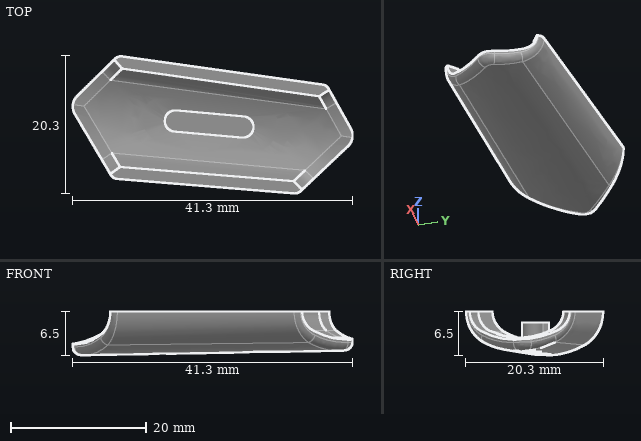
import cadquery as cq
import math

loft_reach = 33.05
left_center_y, left_half_width, left_depth = 3.22, 9.65, 6.75
right_center_y, right_half_width, right_depth = -4.15, 7.73, 5.58
corner_angle = math.radians(27)

wall = 1.8
floor = 1.95

left_tip = (-21.2, 3.05)
right_tip = (21.25, -2.0)
rear_left = (-13.75, 10.37)
rear_right = (16.78, 6.0)
front_right = (12.4, -10.37)
front_left = (-14.55, -8.2)
tip_radius = 2.15
end_edge_radius = 1.25
rim_margin = 0.05

bevel_width = 1.78
bevel_wall = 0.65
bevel_floor = 1.6

boss_center = (-0.5, 0.12)
boss_length = 13.15
boss_width = 3.15
boss_angle = -5.1
boss_top = -1.6
boss_foot = -4.95


def add_section(plane, center_y, half_width, depth):
    """Draw a U of two tight side arcs tangent to one shallow bottom arc."""
    sine = math.sin(corner_angle)
    cosine = math.cos(corner_angle)
    rise = (1 - cosine) / sine
    side_radius = (depth - half_width * rise) / (1 - rise)
    arc_center = half_width - side_radius
    join_y = arc_center + side_radius * sine
    join_z = -side_radius * cosine
    middle_angle = (math.pi / 2 - corner_angle) / 2
    middle_y = arc_center + side_radius * math.cos(middle_angle)
    middle_z = -side_radius * math.sin(middle_angle)
    return (
        plane.moveTo(center_y - half_width, 0)
        .threePointArc((center_y - middle_y, middle_z), (center_y - join_y, join_z))
        .threePointArc((center_y, -depth), (center_y + join_y, join_z))
        .threePointArc((center_y + middle_y, middle_z), (center_y + half_width, 0))
        .close()
    )


def channel(side_inset, floor_inset):
    """Tapered solid lofted between two U sections, shrunk by the insets."""
    loft = cq.Workplane("YZ", origin=(-loft_reach, 0, 0))
    loft = add_section(loft, left_center_y, left_half_width - side_inset, left_depth - floor_inset)
    loft = loft.workplane(offset=2 * loft_reach)
    loft = add_section(loft, right_center_y, right_half_width - side_inset, right_depth - floor_inset)
    return loft.loft(ruled=True)


def plan_prism():
    """Six-sided prism that trims the channel, with rounded tips."""
    height = 2 * left_depth
    outline = [left_tip, rear_left, rear_right, right_tip, front_right, front_left]
    prism = cq.Workplane("XY", origin=(0, 0, -height)).polyline(outline).close().extrude(2 * height)
    return prism.edges("|Z and (<X or >X)").fillet(tip_radius)


def is_open_end_edge(edge):
    """True for edges away from the rim plane that are not upright lines."""
    return edge.Center().z < -rim_margin and abs(edge.tangentAt(0.5).z) < 0.999


def outer_body():
    """Trimmed channel with the lower edge of its ends rounded."""
    body = channel(0, 0).intersect(plan_prism())
    outer_edges = [edge for edge in body.faces("#Z").edges().vals() if is_open_end_edge(edge)]
    return body.newObject(outer_edges).fillet(end_edge_radius)


def slice_wire(solid, tip, corner, inset):
    """Outline of a solid cut by the upright plane along an end, moved inward by inset."""
    along = (cq.Vector(*corner) - cq.Vector(*tip)).normalized()
    inward = cq.Vector(-along.y, along.x, 0)
    if inward.dot(cq.Vector(*tip)) > 0:
        inward = -inward
    plane = cq.Plane(origin=cq.Vector(*tip) + inward * inset, xDir=along, normal=inward)
    sheet = cq.Face.makePlane(4 * loft_reach, 4 * loft_reach, plane.origin, plane.zDir)
    return sheet.intersect(solid.val()).Faces()[0].outerWire()


def end_bevel(tip, corner, cavity, mouth):
    """Cutter that flares the cavity to the mouth at one open end."""
    mouth_wire = slice_wire(mouth, tip, corner, 0)
    cavity_wire = slice_wire(cavity, tip, corner, bevel_width)
    return cq.Workplane(cq.Solid.makeLoft([mouth_wire, cavity_wire], True))


def boss():
    """Upright bar with round ends."""
    bar = cq.Workplane("XY").slot2D(boss_length, boss_width, boss_angle).extrude(boss_top - boss_foot)
    return bar.translate((*boss_center, boss_foot))


cavity = channel(wall, floor)
mouth = channel(bevel_wall, bevel_floor)
tray = outer_body().cut(cavity)

open_ends = [
    (left_tip, rear_left),
    (left_tip, front_left),
    (right_tip, rear_right),
    (right_tip, front_right),
]
for tip, corner in open_ends:
    tray = tray.cut(end_bevel(tip, corner, cavity, mouth))

result = tray.union(boss())